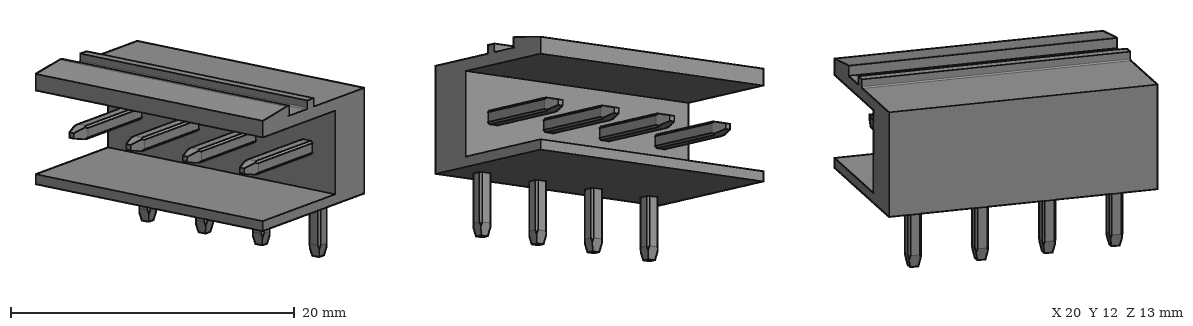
import cadquery as cq
width = 20.0
depth = 12.0
floor_thickness = 0.75
ceiling_height = 6.88
roof_height = 7.75
back_wall = 3.45

rib_rear = 5.98
rib_width = 0.75
rib_height = 0.62
rib_foot_radius = 0.1

latch_length = 3.1
latch_height = 0.75
latch_crest = 0.25
latch_drop = 0.4

pin_count = 4
pin_pitch = width / pin_count
pin_size = 1.0
pin_corner_diameter = 1.22
contact_height = 3.8
contact_reach = 11.1
contact_tip = 0.4
contact_taper = 1.22
solder_inset = 2.12
solder_reach = 4.5
solder_tip = 0.6
solder_taper = 0.95


def make_housing():
    """Socket that is open to the front and at both sides, without its pin passages."""
    latch_rear = depth - latch_length
    rib_front = rib_rear + rib_width
    rib_top = roof_height + rib_height
    latch_top = roof_height + latch_height
    outline = [
        (0, 0),
        (-depth, 0),
        (-depth, floor_thickness),
        (-back_wall, floor_thickness),
        (-back_wall, ceiling_height),
        (-depth, ceiling_height),
        (-depth, latch_top - latch_drop),
        (-latch_rear - latch_crest, latch_top),
        (-latch_rear, latch_top),
        (-latch_rear, roof_height),
        (-rib_front, roof_height),
        (-rib_front, rib_top),
        (-rib_rear, rib_top),
        (-rib_rear, roof_height),
        (0, roof_height),
    ]
    body = cq.Workplane("YZ").polyline(outline).close().extrude(width / 2, both=True)
    for foot_y in (-rib_rear, -rib_front):
        foot_edge = cq.selectors.NearestToPointSelector((0, foot_y, roof_height))
        body = body.edges("|X").edges(foot_edge).fillet(rib_foot_radius)
    return body


def make_leg(length, tip_size, taper_length):
    """Square bar from the origin down to Z = -length, with corners turned round and a pyramid tip."""
    half = pin_size / 2
    half_tip = tip_size / 2
    taper_start = length - taper_length
    outline = [
        (-half, 0),
        (half, 0),
        (half, -taper_start),
        (half_tip, -length),
        (-half_tip, -length),
        (-half, -taper_start),
    ]
    bar = cq.Workplane("XY").circle(pin_corner_diameter / 2).extrude(-length)
    for plane in ("XZ", "YZ"):
        bar = bar.intersect(cq.Workplane(plane).polyline(outline).close().extrude(half, both=True))
    return bar


def make_pin(x):
    """Bent pin at the given X; both legs run to the outer corner of the bend."""
    bend_rear = solder_inset - pin_size / 2
    bend_top = contact_height + pin_size / 2
    contact_leg = (
        make_leg(contact_reach - bend_rear, contact_tip, contact_taper)
        .rotate((0, 0, 0), (1, 0, 0), -90)
        .translate((x, -bend_rear, contact_height))
    )
    solder_leg = make_leg(solder_reach + bend_top, solder_tip, solder_taper).translate(
        (x, -solder_inset, bend_top)
    )
    return contact_leg.union(solder_leg)


housing = make_housing()
pins = []
for index in range(pin_count):
    pin = make_pin((index - (pin_count - 1) / 2) * pin_pitch)
    housing = housing.cut(pin)
    pins.append(pin.solids().val())

result = cq.Compound.makeCompound([housing.solids().val(), *pins])